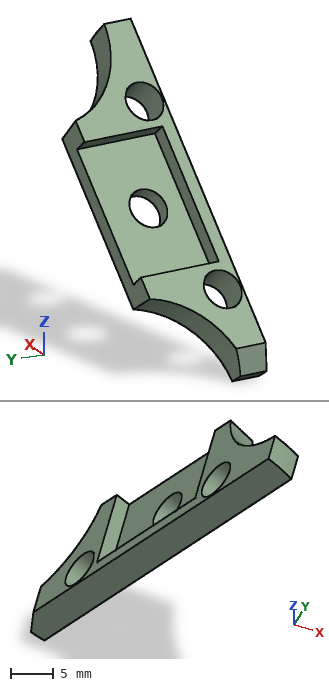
import cadquery as cq
import math

THICKNESS = 4.0
WIDTH = 13.0
END_RADIUS = 23.0

SCALLOP_RADIUS = 11.8
SCALLOP_X = 23.47
SCALLOP_Y = 15.6
SCALLOP_TILT = 7.3

POCKET_LENGTH = 18.0
POCKET_EDGE = 1.75
POCKET_DEPTH = 2.0

HOLE_DIAMETER = 5.0
SIDE_HOLE_SPACING = 25.0
SIDE_HOLE_Y = 2.75
CENTRE_HOLE_Y = 6.75

CHAMFER_LENGTH = 2.87
CHAMFER_ANGLE = 36.3

ROLL = 1.65
CLIMB = 48.6
HEADING = 10.0


def plate_blank():
    """Plate whose two ends follow a cylinder centred across the upper face."""
    slab = cq.Workplane("XY").rect(2 * END_RADIUS, 2 * WIDTH).extrude(-THICKNESS)
    end_cylinder = cq.Workplane("XZ").circle(END_RADIUS).extrude(-WIDTH)
    return slab.intersect(end_cylinder)


def scallops():
    """Two cylinders that hollow the corners of the plate, leaning towards its middle below."""
    reach = 2 * THICKNESS
    right_scallop = (
        cq.Workplane("XY")
        .circle(SCALLOP_RADIUS)
        .extrude(reach, both=True)
        .rotate((0, 0, 0), (0, 1, 0), SCALLOP_TILT)
        .translate((SCALLOP_X, SCALLOP_Y, 0))
    )
    return right_scallop.union(right_scallop.mirror("YZ"))


def pocket():
    """Rectangular recess in the upper face, open on the side away from the straight edge."""
    return (
        cq.Workplane("XY")
        .moveTo(-POCKET_LENGTH / 2, POCKET_EDGE)
        .lineTo(POCKET_LENGTH / 2, POCKET_EDGE)
        .lineTo(POCKET_LENGTH / 2, WIDTH)
        .lineTo(-POCKET_LENGTH / 2, WIDTH)
        .close()
        .extrude(-POCKET_DEPTH)
    )


def holes():
    """Two holes near the straight edge and one in the pocket, all through the plate."""
    half_spacing = SIDE_HOLE_SPACING / 2
    centres = [
        (-half_spacing, SIDE_HOLE_Y),
        (0, CENTRE_HOLE_Y),
        (half_spacing, SIDE_HOLE_Y),
    ]
    return cq.Workplane("XY").pushPoints(centres).circle(HOLE_DIAMETER / 2).extrude(-THICKNESS)


def end_chamfer():
    """Wedge that bevels the upper edge of the end at negative x."""
    drop = CHAMFER_LENGTH * math.tan(math.radians(CHAMFER_ANGLE))
    return (
        cq.Workplane("XZ")
        .moveTo(CHAMFER_LENGTH - END_RADIUS, 0)
        .lineTo(-END_RADIUS, 0)
        .lineTo(-END_RADIUS, -drop)
        .close()
        .extrude(-WIDTH)
    )


def placed(plate):
    """Plate rolled about its length, tilted up, turned about Z and centred on the origin."""
    origin = (0, 0, 0)
    turned = (
        plate.rotate(origin, (1, 0, 0), ROLL)
        .rotate(origin, (0, 1, 0), -CLIMB)
        .rotate(origin, (0, 0, 1), HEADING)
    )
    box_centre = turned.val().BoundingBox().center
    return turned.translate(box_centre.multiply(-1))


plate = plate_blank()
for cutter in (scallops(), pocket(), holes(), end_chamfer()):
    plate = plate.cut(cutter)
result = placed(plate).solids()